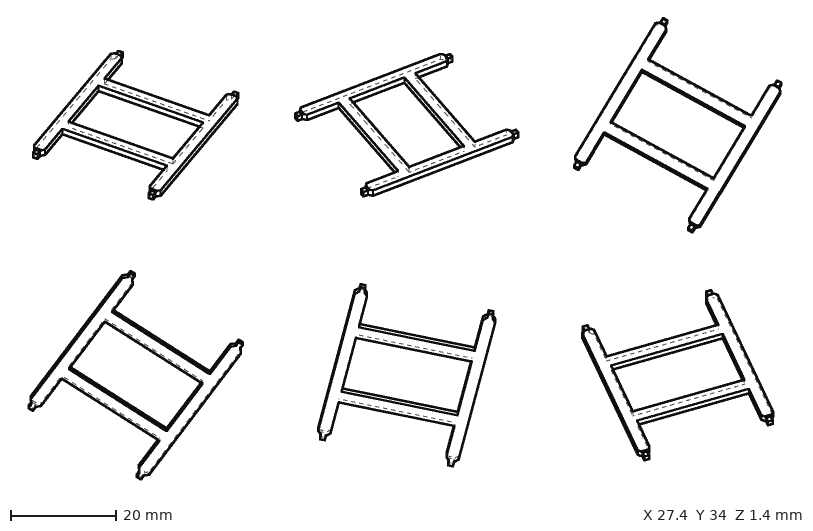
import cadquery as cq

overall_width = 27.4
overall_length = 34.0
thickness = 1.4

bar_width = 2.4
crossbar_outer_span = 16.8

peg_width = 1.0
peg_length = 1.0
peg_height = 1.15

rail_length = overall_length - 2 * peg_length
rail_offset = (overall_width - bar_width) / 2
crossbar_offset = (crossbar_outer_span - bar_width) / 2
corner_chamfer = (bar_width - peg_width) / 2
top_chamfer = thickness - peg_height

ON_BASE = (True, True, False)


def make_rail():
    """One rail with tapered ends and a peg at each end, centred on the Z axis."""
    rail = (
        cq.Workplane("XY")
        .box(bar_width, rail_length, thickness, centered=ON_BASE)
        .edges("|Z")
        .chamfer(corner_chamfer)
    )
    rail = rail.faces("<Y or >Y").edges(">Z").chamfer(top_chamfer)
    pegs = cq.Workplane("XY").box(peg_width, overall_length, peg_height, centered=ON_BASE)
    return rail.union(pegs)


def make_crossbar():
    """One crossbar reaching between the rail centrelines."""
    return cq.Workplane("XY").box(2 * rail_offset, bar_width, thickness, centered=ON_BASE)


result = make_rail().translate((-rail_offset, 0, 0))
result = result.union(make_rail().translate((rail_offset, 0, 0)))
for side in (-1, 1):
    result = result.union(make_crossbar().translate((0, side * crossbar_offset, 0)))